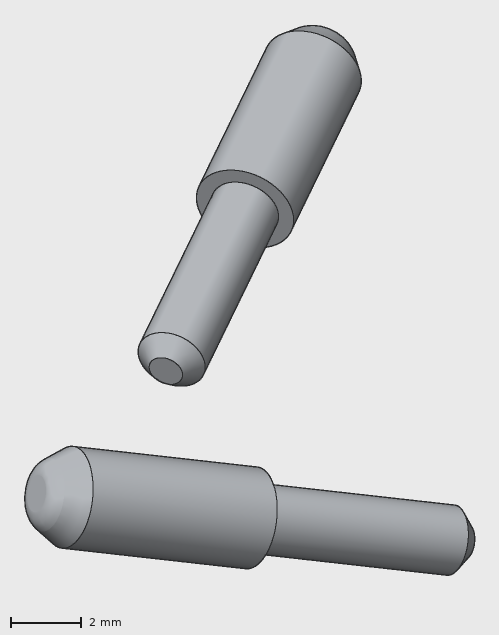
import cadquery as cq
import math

TOTAL_LENGTH = 14.0
BARREL_LENGTH = TOTAL_LENGTH / 2
PIN_LENGTH = TOTAL_LENGTH - BARREL_LENGTH

BARREL_RADIUS = 2.9 / 2
NOSE_LENGTH = 1.0
NOSE_HALF_ANGLE = 30.0
NOSE_FILLET = 0.6

PIN_RADIUS = 2.0 / 2
PIN_CHAMFER = 0.5


def make_barrel():
    """Thick cylinder with a conical nose rounded into its flat +Y end."""
    nose_drop = NOSE_LENGTH * math.tan(math.radians(NOSE_HALF_ANGLE))
    profile = (
        cq.Workplane("XY")
        .lineTo(BARREL_RADIUS, 0)
        .lineTo(BARREL_RADIUS, BARREL_LENGTH - NOSE_LENGTH)
        .lineTo(BARREL_RADIUS - nose_drop, BARREL_LENGTH)
        .lineTo(0, BARREL_LENGTH)
        .close()
    )
    barrel = profile.revolve(360, (0, 0, 0), (0, 1, 0))
    return barrel.faces(">Y").edges().fillet(NOSE_FILLET)


def make_pin():
    """Thin cylinder pointing toward -Y, chamfered at its free end."""
    pin = cq.Workplane("XZ").circle(PIN_RADIUS).extrude(PIN_LENGTH)
    return pin.faces("<Y").edges().chamfer(PIN_CHAMFER)


barrel = make_barrel()
pin = make_pin()

result = cq.Compound.makeCompound([barrel.val(), pin.val()])